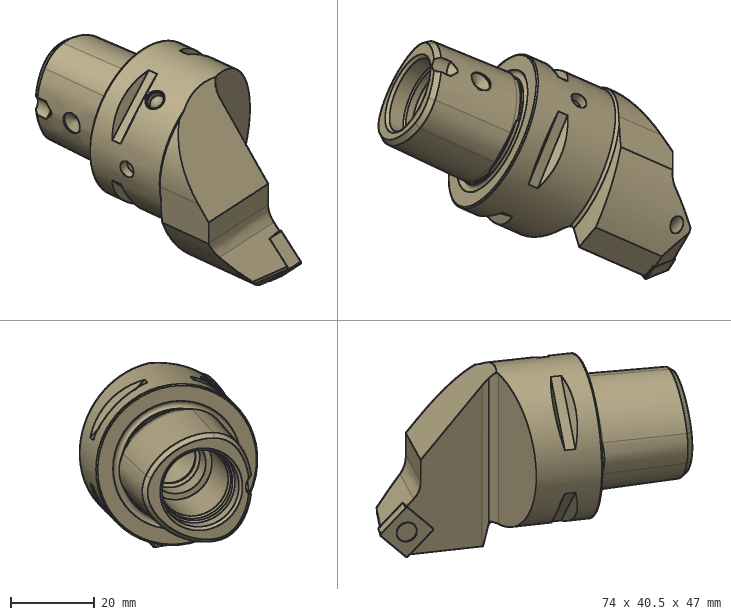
import cadquery as cq
import math


margin = 1.0

shank_length = 24.0
lobe_height = 0.72
lobe_half_angle = 25.0
shank_end_x = -1.6
nose_chamfer_length = 1.4
nose_chamfer_height = 1.0
taper_front_radius = 13.55
taper_slope = 1 / 40
neck_radius = 13.9
neck_start_x = -0.5
lobe_bevel_end_x = -0.85
spline_steps = 8

bore_profile = [
    (0.0, 10.2), (0.8, 9.5), (4.7, 9.5), (5.1, 9.0), (6.9, 9.0), (7.8, 8.6),
    (24.0, 8.6), (24.0, 7.1), (30.0, 7.1), (30.5, 6.2), (31.0, 6.2),
]

drill_slope = math.tan(math.radians(31))
key_point_slope = 1.0
key_radius = 2.6
key_offset = 13.6
key_depth = 4.1
mark_radius = 2.7
mark_x = -11.45
mark_floor = 12.6

flange_radius = 20.0
flange_chamfer = 0.35
flange_end_x = 22.3
relief_ring_inner = 14.0
relief_ring_outer = 15.85
flange_hole_x = 12.0
flange_hole_radius = 2.1
flange_hole_floor = 17.5

slot_x = 7.95
slot_floor_distance = 17.6
slot_floor_width = 2.6
slot_mouth_width = 5.3

head_radius = 20.5
head_flat_height = 10.0
head_arc_radius = 32.0
head_arc_end_y = -7.7
head_end_x = 52.0
head_back_x = 23.1
head_back_radius = 20.65
head_back_slope = 0.22
rake_face_y = -0.4
rake_slope_angle = 15.0
rake_foot_x = 22.05
rake_fillet = 3.5

relief = math.radians(7)
end_relief = math.radians(4.5)
bottom_relief = math.radians(5.5)
head_bottom_z = -26.6
slant_angle = math.radians(49.6)
end_face_x = 39.9
slant_corner_z = -1.95
heel_fillet = 6.0
tip_flat_half_width = 0.43
seat_setback = 0.08

insert_size = 9.525
insert_thickness = 3.97
insert_nose_radius = 0.4
tool_length = 50.01
tool_reach = 27.0
screw_radius = 1.6
screw_end_y = -9.0
screw_head_radius = 2.5
screw_head_top_y = -0.3
screw_head_depth = 1.6

plug_x = 13.5
plug_angle = 55.0
sleeve_radius = 2.5
sleeve_bore_radius = 2.1
sleeve_lip = 0.2
sleeve_sink = 0.16
plug_depth = 5.0
ball_depth = 2.3

nose_loss = insert_nose_radius * (math.sqrt(2) - 1)
insert_reach = insert_size / math.sqrt(2) - nose_loss
insert_x = tool_length - insert_reach
insert_z = insert_reach - tool_reach


def lobe_point(x, radius, angle_deg):
    """Point of the three-lobed outline whose surface normal has the given angle."""
    a = math.radians(angle_deg)
    support = radius + lobe_height * math.cos(3 * a)
    slide = -3 * lobe_height * math.sin(3 * a)
    y = support * math.cos(a) - slide * math.sin(a)
    z = support * math.sin(a) + slide * math.cos(a)
    return cq.Vector(x, y, z)


def lobed_wire(x, radius):
    """Closed three-lobed outline at one X, of alternating lobe and side curves."""
    edges = []
    for lobe in range(3):
        middle = lobe * 120
        spans = [
            (middle - lobe_half_angle, middle + lobe_half_angle),
            (middle + lobe_half_angle, middle + 120 - lobe_half_angle),
        ]
        for start, end in spans:
            step = (end - start) / spline_steps
            points = [lobe_point(x, radius, start + i * step) for i in range(spline_steps + 1)]
            edges.append(cq.Edge.makeSpline(points))
    return cq.Wire.assembleEdges(edges)


def revolve_about_x(points):
    """Solid of revolution from (x, radius) points."""
    return cq.Workplane("XY").polyline(points).close().revolve(360, (0, 0, 0), (1, 0, 0))


def drill(start, direction, radius, length, point_slope=drill_slope):
    """Drilling with a pointed end, entering at start."""
    start = cq.Vector(*start)
    direction = cq.Vector(*direction)
    barrel = cq.Solid.makeCylinder(radius, length, start, direction)
    point = cq.Solid.makeCone(radius, 0, radius * point_slope, start + direction * length, direction)
    return cq.Workplane(obj=barrel.fuse(point))


def make_shank():
    """Three-lobed taper with a front chamfer and bevelled lobes in front of the neck."""
    taper_length = shank_length - nose_chamfer_length + shank_end_x
    taper_back_radius = taper_front_radius + taper_length * taper_slope
    stations = [
        (-shank_length, taper_front_radius - nose_chamfer_height),
        (nose_chamfer_length - shank_length, taper_front_radius),
        (shank_end_x, taper_back_radius),
        (neck_start_x, taper_back_radius),
    ]
    wires = [lobed_wire(x, radius) for x, radius in stations]
    taper = cq.Workplane(obj=cq.Solid.makeLoft(wires, True))
    bevel = flange_radius - neck_radius
    envelope = revolve_about_x([
        (-shank_length, 0),
        (-shank_length, flange_radius),
        (lobe_bevel_end_x - bevel, flange_radius),
        (lobe_bevel_end_x, neck_radius),
        (neck_start_x, neck_radius),
        (neck_start_x, 0),
    ])
    return taper.intersect(envelope)


def make_flange():
    """Neck and cylindrical flange."""
    return revolve_about_x([
        (neck_start_x, 0),
        (neck_start_x, neck_radius),
        (0, neck_radius),
        (0, flange_radius - flange_chamfer),
        (flange_chamfer, flange_radius),
        (head_back_x, flange_radius),
        (head_back_x, 0),
    ])


def make_bore():
    """Stepped bore of the shank with a conical end."""
    end_depth, end_radius = bore_profile[-1]
    outline = [(depth - shank_length, radius) for depth, radius in bore_profile]
    cone_tip = end_depth + end_radius * drill_slope - shank_length
    return revolve_about_x([(-shank_length, 0)] + outline + [(cone_tip, 0)])


def make_relief_ring():
    """Half-round groove in the flange face, around the neck."""
    middle = (relief_ring_inner + relief_ring_outer) / 2
    radius = (relief_ring_outer - relief_ring_inner) / 2
    return (
        cq.Workplane("XY")
        .moveTo(0, relief_ring_inner)
        .threePointArc((radius, middle), (0, relief_ring_outer))
        .close()
        .revolve(360, (0, 0, 0), (1, 0, 0))
    )


def make_gripper_slots():
    """Four tapered slots, one in each quadrant of the flange."""
    half_floor = slot_floor_width / 2
    half_mouth = slot_mouth_width / 2
    flare = (half_mouth - half_floor) / (flange_radius - slot_floor_distance)
    top = flange_radius + margin
    half_top = half_floor + flare * (top - slot_floor_distance)
    slot = (
        cq.Workplane("XY")
        .polyline([
            (slot_x - half_floor, slot_floor_distance),
            (slot_x + half_floor, slot_floor_distance),
            (slot_x + half_top, top),
            (slot_x - half_top, top),
        ])
        .close()
        .extrude(flange_radius / 2, both=True)
    )
    return [slot.rotate((0, 0, 0), (1, 0, 0), angle) for angle in (45, 135, 225, 315)]


def make_head():
    """Head section along X, with a conical back face."""
    flank_slope = math.tan(bottom_relief)
    arc_end_z = head_bottom_z + (rake_face_y - head_arc_end_y) * flank_slope
    section = (
        cq.Workplane("YZ")
        .moveTo(0, head_radius)
        .radiusArc((-head_radius, 0), -head_radius)
        .lineTo(-head_radius, -head_flat_height)
        .radiusArc((head_arc_end_y, arc_end_z), -head_arc_radius)
        .lineTo(0, arc_end_z + head_arc_end_y * flank_slope)
        .close()
        .extrude(head_end_x)
    )
    far_radius = 2 * flange_radius
    back_cone = revolve_about_x([
        (flange_end_x, 0),
        (flange_end_x, flange_radius),
        (head_back_x, head_back_radius),
        (head_back_x + (far_radius - head_back_radius) * head_back_slope, far_radius),
        (head_end_x, far_radius),
        (head_end_x, 0),
    ])
    return section.intersect(back_cone)


def silhouette(y):
    """Outline of the tool in the XZ plane at a given Y; each face leans inwards towards -Y."""
    inset = -y * math.tan(relief)
    left = -shank_length - margin
    high = 2 * flange_radius
    root_half = math.sqrt(0.5)

    end_x = end_face_x - (rake_face_y - y) * math.tan(end_relief)
    bottom = head_bottom_z + (rake_face_y - y) * math.tan(bottom_relief)

    tip_x = insert_x + insert_size * root_half - seat_setback - inset / root_half
    flat_x = tip_x - tip_flat_half_width

    slant_x = end_face_x - (inset + rake_face_y * math.tan(relief)) / math.sin(slant_angle)
    slant_end_z = slant_corner_z + (slant_x - end_x) * math.tan(slant_angle)
    slant_top_x = end_x - (high - slant_end_z) / math.tan(slant_angle)

    heel_z = insert_z + tip_x - end_x
    heel_turn = math.pi / 4
    tangent = heel_fillet * math.tan(heel_turn / 2)
    center_x = end_x + heel_fillet
    center_z = heel_z + tangent
    arc_start = (end_x, center_z)
    arc_middle = (
        center_x - heel_fillet * math.cos(heel_turn / 2),
        center_z - heel_fillet * math.sin(heel_turn / 2),
    )
    arc_end = (end_x + tangent * root_half, heel_z - tangent * root_half)

    return (
        cq.Workplane("XZ", origin=(0, y, 0))
        .moveTo(left, bottom)
        .lineTo(left, high)
        .lineTo(slant_top_x, high)
        .lineTo(end_x, slant_end_z)
        .lineTo(*arc_start)
        .threePointArc(arc_middle, arc_end)
        .lineTo(flat_x, insert_z + tip_flat_half_width)
        .lineTo(flat_x, insert_z - tip_flat_half_width)
        .lineTo(tip_x - (insert_z - bottom), bottom)
        .close()
        .wire()
        .val()
    )


def make_relieved_envelope():
    """Body bounded by the relieved outer faces of the head."""
    reach = head_radius + margin
    return cq.Workplane(obj=cq.Solid.makeLoft([silhouette(reach), silhouette(-reach)], True))


def make_rake_cut():
    """Space on the rake side: a sloped face, a fillet and the flat rake face."""
    height = 2 * flange_radius
    top_y = flange_radius + margin
    slope = math.tan(math.radians(rake_slope_angle))
    return (
        cq.Workplane("XY")
        .polyline([
            (rake_foot_x, rake_face_y),
            (head_end_x, rake_face_y),
            (head_end_x, top_y),
            (rake_foot_x - (top_y - rake_face_y) * slope, top_y),
        ])
        .close()
        .extrude(height, both=True)
        .edges(cq.selectors.NearestToPointSelector((rake_foot_x, rake_face_y, 0)))
        .fillet(rake_fillet)
    )


def make_insert_blank():
    """Square insert standing on its corner, narrowing away from the rake face."""
    return (
        cq.Workplane("XZ", origin=(insert_x, 0, insert_z))
        .transformed(rotate=(0, 0, 45))
        .sketch()
        .rect(insert_size, insert_size)
        .vertices()
        .fillet(insert_nose_radius)
        .finalize()
        .extrude(insert_thickness, taper=math.degrees(relief))
    )


def make_screw():
    """Countersunk insert screw, its axis along Y."""
    return (
        cq.Workplane("XY", origin=(insert_x, 0, insert_z))
        .polyline([
            (0, screw_head_top_y),
            (screw_head_radius, screw_head_top_y),
            (screw_radius, screw_head_top_y - screw_head_depth),
            (screw_radius, screw_end_y),
            (0, screw_end_y),
        ])
        .close()
        .revolve(360, (0, 0, 0), (0, 1, 0))
    )


def make_screw_clearance(radius, length):
    """Plain hole on the screw axis, from the insert face towards -Y."""
    start = cq.Vector(insert_x, 0, insert_z)
    return cq.Workplane(obj=cq.Solid.makeCylinder(radius, length, start, cq.Vector(0, -1, 0)))


plug_turn = math.radians(plug_angle)
plug_inward = cq.Vector(0, math.cos(plug_turn), -math.sin(plug_turn))
plug_mouth = cq.Vector(plug_x, 0, 0) - plug_inward * (flange_radius - sleeve_sink)


def plug_cylinder(radius, length, start=plug_mouth):
    """Cylinder on the plug axis, running inwards."""
    return cq.Workplane(obj=cq.Solid.makeCylinder(radius, length, start, plug_inward))


def make_sleeve():
    """Plug sleeve with a chamfered mouth."""
    lip_cone = cq.Solid.makeCone(
        sleeve_bore_radius + sleeve_lip, sleeve_bore_radius, sleeve_lip, plug_mouth, plug_inward
    )
    return (
        plug_cylinder(sleeve_radius, plug_depth)
        .cut(plug_cylinder(sleeve_bore_radius, plug_depth))
        .cut(cq.Workplane(obj=lip_cone))
    )


def make_ball():
    """Ball closing the sleeve bore."""
    return cq.Workplane("XY").sphere(sleeve_bore_radius).translate(plug_mouth + plug_inward * ball_depth)


def make_holder():
    """Shank, flange and head as one solid, with every hole and pocket cut in it."""
    holder = make_flange().union(make_head())
    holder = holder.intersect(make_relieved_envelope()).cut(make_rake_cut())
    holder = holder.cut(make_relief_ring()).union(make_shank())
    holder = holder.cut(make_bore())
    for slot in make_gripper_slots():
        holder = holder.cut(slot)

    holder = holder.cut(drill(
        (-shank_length, -key_offset, 0), (1, 0, 0), key_radius, key_depth, key_point_slope
    ))
    holder = holder.cut(drill((mark_x, -flange_radius, 0), (0, 1, 0), mark_radius, flange_radius - mark_floor))
    holder = holder.cut(drill(
        (flange_hole_x, -flange_radius, 0), (0, 1, 0), flange_hole_radius, flange_radius - flange_hole_floor
    ))

    holder = holder.cut(plug_cylinder(sleeve_radius, plug_depth + margin, plug_mouth - plug_inward * margin))
    holder = holder.cut(make_insert_blank())
    return holder.cut(make_screw_clearance(screw_radius, head_radius))


screw = make_screw()
insert = make_insert_blank().cut(screw).cut(make_screw_clearance(screw_head_radius, -screw_head_top_y))
holder = make_holder()
sleeve = make_sleeve()
ball = make_ball()

result = cq.Compound.makeCompound([
    holder.val(),
    insert.val(),
    screw.val(),
    sleeve.val(),
    ball.val(),
])